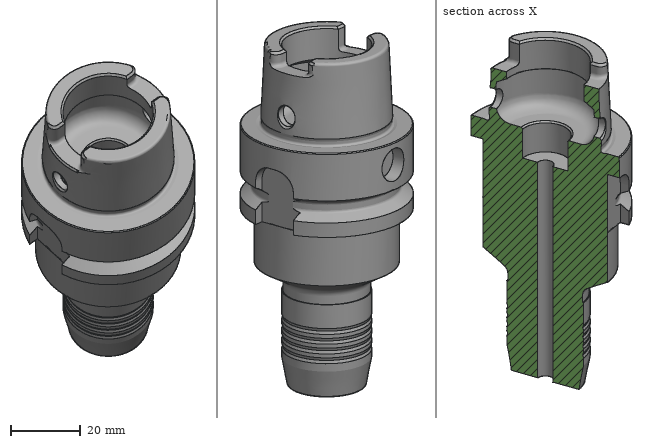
import cadquery as cq
import math

diagonal_gap = 1 - math.sqrt(0.5)

cone_angle = math.radians(30)
cone_slope = math.tan(cone_angle)

clearance = 1.0
pick_margin = 0.1

top_z = 24.9
bottom_z = -80.0

shank_top_radius = 18.0
shank_base_radius = 19.05
shank_base_z = 2.2
shank_edge_fillet = 0.9
relief_radius = 18.8
relief_top_z = 1.3
relief_fillet = 0.75
face_recess_radius = 20.4
face_recess_depth = 0.2

flange_radius = 25.0
flange_edge = 0.3
flange_bottom_z = -25.8
groove_radius = 21.5
groove_floor_top_z = -16.6
groove_floor_bottom_z = -19.35
groove_fillet = 0.9
groove_rise = (flange_radius - groove_radius) * cone_slope

hub_radius = 21.0
hub_bottom_z = -42.2
neck_radius = 12.7
neck_fillet = 2.6
nose_radius = 13.0
nose_top_z = -51.0
nose_taper_z = -71.6
nose_end_radius = 11.5
nose_edge = 0.3

ring_count = 4
ring_first_z = -59.2
ring_pitch = 3.0
ring_half_width = 0.9
ring_depth = nose_radius - neck_radius

mouth_radius = 13.0
mouth_edge = 0.6
undercut_radius = 16.4
lip_z = 15.0
cavity_fillet = 4.5
cavity_floor_z = 0.7
bore_radius = 7.5
bore_edge = 0.5
bore_depth = 10.0
coolant_radius = 2.5

notch_half_width = 5.3
notch_inner_y = 8.0
notch_flare = 4.0
front_notch_depth = 7.5
rear_notch_depth = 4.5
post_radius = 2.2
post_center_y = 14.07
notch_fillet = 1.3
notch_edge = 0.7
front_floor_edge = 0.5

cross_hole_radius = 3.1
cross_hole_z = 7.5
cross_hole_sink = 0.7
side_hole_radius = 5.0
side_hole_z = -6.9
side_hole_depth = 4.5
keyway_width = 14.0
keyway_top_z = -6.9
keyway_corner = 6.0
keyway_floor_y = 21.02


def make_body():
    """Solid turned body, with the corners of the gripper groove filleted."""
    shoulder_drop = (hub_radius - neck_radius) * cone_slope
    neck_corner_z = hub_bottom_z - shoulder_drop
    fillet_tangent = neck_fillet * cone_slope
    fillet_start = (
        neck_radius + fillet_tangent * math.cos(cone_angle),
        neck_corner_z + fillet_tangent * math.sin(cone_angle),
    )
    fillet_end = (neck_radius, neck_corner_z - fillet_tangent)
    fillet_middle = (
        neck_radius + neck_fillet * (1 - math.cos(cone_angle)),
        fillet_end[1] + neck_fillet * math.sin(cone_angle),
    )
    profile = (
        cq.Workplane("XZ")
        .moveTo(0, top_z)
        .lineTo(shank_top_radius - shank_edge_fillet, top_z)
        .threePointArc(
            (
                shank_top_radius - diagonal_gap * shank_edge_fillet,
                top_z - diagonal_gap * shank_edge_fillet,
            ),
            (shank_top_radius, top_z - shank_edge_fillet),
        )
        .lineTo(shank_base_radius, shank_base_z)
        .lineTo(relief_radius, relief_top_z)
        .lineTo(relief_radius, relief_fillet - face_recess_depth)
        .threePointArc(
            (
                relief_radius + diagonal_gap * relief_fillet,
                diagonal_gap * relief_fillet - face_recess_depth,
            ),
            (relief_radius + relief_fillet, -face_recess_depth),
        )
        .lineTo(face_recess_radius, 0)
        .lineTo(flange_radius - flange_edge, 0)
        .lineTo(flange_radius, -flange_edge)
        .lineTo(flange_radius, groove_floor_top_z + groove_rise)
        .lineTo(groove_radius, groove_floor_top_z)
        .lineTo(groove_radius, groove_floor_bottom_z)
        .lineTo(flange_radius, groove_floor_bottom_z - groove_rise)
        .lineTo(flange_radius, flange_bottom_z)
        .lineTo(hub_radius, flange_bottom_z)
        .lineTo(hub_radius, hub_bottom_z)
        .lineTo(*fillet_start)
        .threePointArc(fillet_middle, fillet_end)
        .lineTo(neck_radius, nose_top_z)
        .lineTo(nose_radius, nose_top_z)
        .lineTo(nose_radius, nose_taper_z)
        .lineTo(nose_end_radius, bottom_z + nose_edge)
        .lineTo(nose_end_radius - nose_edge, bottom_z)
        .lineTo(0, bottom_z)
        .close()
    )
    body = profile.revolve(360, (0, 0, 0), (0, 1, 0))
    groove_corners = cq.selectors.BoxSelector(
        (-flange_radius, -flange_radius, groove_floor_bottom_z - pick_margin),
        (flange_radius, flange_radius, groove_floor_top_z + pick_margin),
    )
    return body.edges("%CIRCLE").edges(groove_corners).fillet(groove_fillet)


def make_ring_groove(center_z):
    """One shallow V groove round the nose."""
    return (
        cq.Workplane("XZ")
        .moveTo(nose_radius, center_z + ring_half_width)
        .lineTo(nose_radius - ring_depth, center_z)
        .lineTo(nose_radius, center_z - ring_half_width)
        .close()
        .revolve(360, (0, 0, 0), (0, 1, 0))
    )


def make_cavity():
    """Mouth, undercut clamping chamber, blind bore and coolant passage on the axis."""
    undercut_drop = (undercut_radius - mouth_radius) * cone_slope
    floor_radius = undercut_radius - cavity_fillet
    fillet_center_z = cavity_floor_z + cavity_fillet
    fillet_middle = (
        undercut_radius - diagonal_gap * cavity_fillet,
        cavity_floor_z + diagonal_gap * cavity_fillet,
    )
    bore_floor_z = cavity_floor_z - bore_depth
    profile = (
        cq.Workplane("XZ")
        .moveTo(0, top_z)
        .lineTo(mouth_radius + mouth_edge, top_z)
        .lineTo(mouth_radius, top_z - mouth_edge)
        .lineTo(mouth_radius, lip_z)
        .lineTo(undercut_radius, lip_z - undercut_drop)
        .lineTo(undercut_radius, fillet_center_z)
        .threePointArc(fillet_middle, (floor_radius, cavity_floor_z))
        .lineTo(bore_radius + bore_edge, cavity_floor_z)
        .lineTo(bore_radius, cavity_floor_z - bore_edge)
        .lineTo(bore_radius, bore_floor_z)
        .lineTo(coolant_radius, bore_floor_z)
        .lineTo(coolant_radius, bottom_z)
        .lineTo(0, bottom_z)
        .close()
    )
    return profile.revolve(360, (0, 0, 0), (0, 1, 0))


def notch_outline(floor_z):
    """Slot opening outwards (+Y) round two posts, then tangent to the shank."""
    outer_y = flange_radius
    post_x = notch_half_width + post_radius
    radial = math.atan2(post_center_y, post_x)
    middle = (math.pi + radial) / 2
    arc_middle = (
        post_x + post_radius * math.cos(middle),
        post_center_y + post_radius * math.sin(middle),
    )
    arc_end = (
        post_x + post_radius * math.cos(radial),
        post_center_y + post_radius * math.sin(radial),
    )
    flare_end = (
        arc_end[0] + notch_flare * math.sin(radial),
        arc_end[1] - notch_flare * math.cos(radial),
    )
    return (
        cq.Workplane("XY", origin=(0, 0, floor_z))
        .moveTo(-notch_half_width, notch_inner_y)
        .lineTo(notch_half_width, notch_inner_y)
        .lineTo(notch_half_width, post_center_y)
        .threePointArc(arc_middle, arc_end)
        .lineTo(*flare_end)
        .lineTo(flare_end[0], outer_y)
        .lineTo(-flare_end[0], outer_y)
        .lineTo(-flare_end[0], flare_end[1])
        .lineTo(-arc_end[0], arc_end[1])
        .threePointArc((-arc_middle[0], arc_middle[1]), (-notch_half_width, post_center_y))
        .close()
    )


def make_notch(depth):
    """Notch with a filleted floor and a bevelled rim, on the +Y side."""
    floor_z = top_z - depth
    wall_edges = cq.selectors.BoxSelector(
        (-flange_radius, notch_inner_y + clearance, floor_z - pick_margin),
        (flange_radius, flange_radius - clearance, floor_z + pick_margin),
    )
    slot = notch_outline(floor_z).extrude(depth + clearance)
    slot = slot.edges(wall_edges).fillet(notch_fillet)
    rim = notch_outline(top_z - notch_edge).extrude(2 * notch_edge, taper=-45)
    return slot.union(rim)


def make_front_floor_edge():
    """Bevel along the outer edge of the deeper notch's floor, between its fillets."""
    floor_z = top_z - front_notch_depth
    half_width = notch_half_width + post_radius - notch_fillet
    shank_slope = (shank_base_radius - shank_top_radius) / (top_z - shank_edge_fillet - shank_base_z)
    floor_radius = shank_base_radius - shank_slope * (floor_z - shank_base_z)
    ring = (
        cq.Workplane("XZ")
        .moveTo(floor_radius - front_floor_edge, floor_z)
        .lineTo(floor_radius + front_floor_edge, floor_z - 2 * front_floor_edge)
        .lineTo(floor_radius + front_floor_edge, floor_z)
        .close()
        .revolve(360, (0, 0, 0), (0, 1, 0))
    )
    front = (
        cq.Workplane("XY")
        .box(2 * half_width, flange_radius, top_z, centered=(True, False, False))
        .translate((0, -flange_radius, 0))
    )
    return ring.intersect(front)


def make_keyway():
    """Arch-topped keyway on the +Y side of the flange."""
    depth = flange_radius + clearance - keyway_floor_y
    height = keyway_top_z - flange_bottom_z
    return (
        cq.Workplane("XY")
        .box(keyway_width, depth, height, centered=(True, False, False))
        .edges("|Y and >Z")
        .fillet(keyway_corner)
        .translate((0, keyway_floor_y, flange_bottom_z))
    )


def make_cross_hole():
    """Radial hole along Y through both walls of the shank."""
    return (
        cq.Workplane("XZ", origin=(0, 0, cross_hole_z))
        .circle(cross_hole_radius)
        .extrude(flange_radius, both=True)
    )


def make_cross_hole_sink():
    """45 degree countersink of the cross hole on the +Y side."""
    reach = 2 * clearance
    widest = shank_base_radius + reach - cross_hole_sink
    return (
        cq.Workplane("XZ", origin=(0, widest, cross_hole_z))
        .circle(cross_hole_radius + reach)
        .extrude(reach, taper=45)
    )


def make_side_hole():
    """Flat-bottomed hole in the -X side of the flange."""
    return (
        cq.Workplane("YZ", origin=(-flange_radius, 0, side_hole_z))
        .circle(side_hole_radius)
        .extrude(side_hole_depth)
    )


def turned_to_front(shape):
    """Carry a cutting body from the +Y side to the -Y side."""
    return shape.rotate((0, 0, 0), (0, 0, 1), 180)


result = make_body()
for ring in range(ring_count):
    result = result.cut(make_ring_groove(ring_first_z - ring * ring_pitch))
result = result.cut(make_cavity())
result = result.cut(make_notch(rear_notch_depth))
result = result.cut(turned_to_front(make_notch(front_notch_depth)))
result = result.cut(make_front_floor_edge())
result = result.cut(make_keyway())
result = result.cut(turned_to_front(make_keyway()))
result = result.cut(make_cross_hole())
result = result.cut(make_cross_hole_sink())
result = result.cut(turned_to_front(make_cross_hole_sink()))
result = result.cut(make_side_hole())